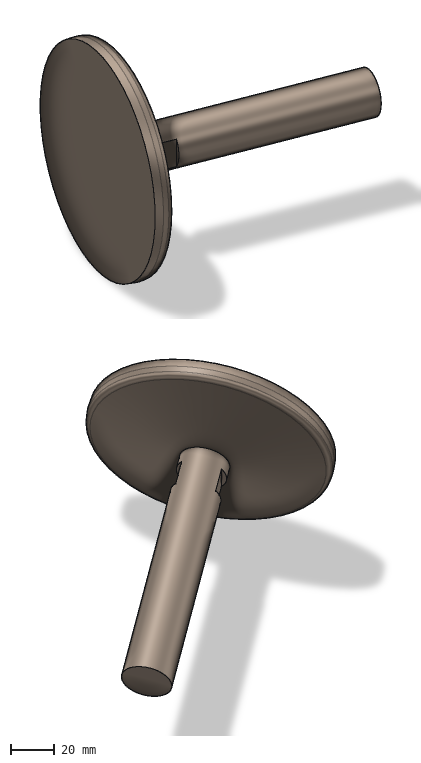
import cadquery as cq
import math

total_length = 142.0
base_diameter = 118.0
stem_diameter = 24.0

parting_height = 4.2
rim_draft = 5.0
cone_slope = 9.45
cone_top_height = 17.15
shoulder_radius = 3.0

flats_across = 19.0
flats_start = 24.0
flats_length = 12.3

base_radius = base_diameter / 2
stem_radius = stem_diameter / 2


def make_base():
    """Conical base with a double-drafted rim and a rounded shoulder."""
    draft = math.tan(math.radians(rim_draft))
    slope = math.tan(math.radians(cone_slope))
    sole_radius = base_radius - parting_height * draft

    cone_height_at_rim = cone_top_height - (base_radius - stem_radius) * slope
    corner_rise = (cone_height_at_rim - parting_height) / (1 - draft * slope)
    corner_radius = base_radius - corner_rise * draft
    corner_height = parting_height + corner_rise

    turn = math.radians(90 - cone_slope - rim_draft)
    tangent_length = shoulder_radius * math.tan(turn / 2)
    rim_angle = math.radians(rim_draft)
    cone_angle = math.radians(cone_slope)
    arc_start = (
        corner_radius + tangent_length * math.sin(rim_angle),
        corner_height - tangent_length * math.cos(rim_angle),
    )
    arc_end = (
        corner_radius - tangent_length * math.cos(cone_angle),
        corner_height + tangent_length * math.sin(cone_angle),
    )
    arc_center = (
        arc_start[0] - shoulder_radius * math.cos(rim_angle),
        arc_start[1] - shoulder_radius * math.sin(rim_angle),
    )
    mid_angle = rim_angle + turn / 2
    arc_middle = (
        arc_center[0] + shoulder_radius * math.cos(mid_angle),
        arc_center[1] + shoulder_radius * math.sin(mid_angle),
    )

    profile = (
        cq.Workplane("XY")
        .moveTo(0, 0)
        .lineTo(sole_radius, 0)
        .lineTo(base_radius, parting_height)
        .lineTo(*arc_start)
        .threePointArc(arc_middle, arc_end)
        .lineTo(stem_radius, cone_top_height)
        .lineTo(0, cone_top_height)
        .close()
    )
    return profile.revolve(360, (0, 0, 0), (0, 1, 0))


def make_stem():
    """Plain round stem from the top of the cone to the far end."""
    stem = cq.Workplane("XZ", origin=(0, cone_top_height, 0)).circle(stem_radius)
    return stem.extrude(cone_top_height - total_length)


def make_flat_cutter(side):
    """Block that cuts one wrench flat; side is -1 or +1 along X."""
    width = stem_diameter
    center = (side * (flats_across + width) / 2, flats_start + flats_length / 2, 0)
    return cq.Workplane("XY").box(width, flats_length, stem_diameter).translate(center)


result = make_base().union(make_stem())
for side in (-1, 1):
    result = result.cut(make_flat_cutter(side))